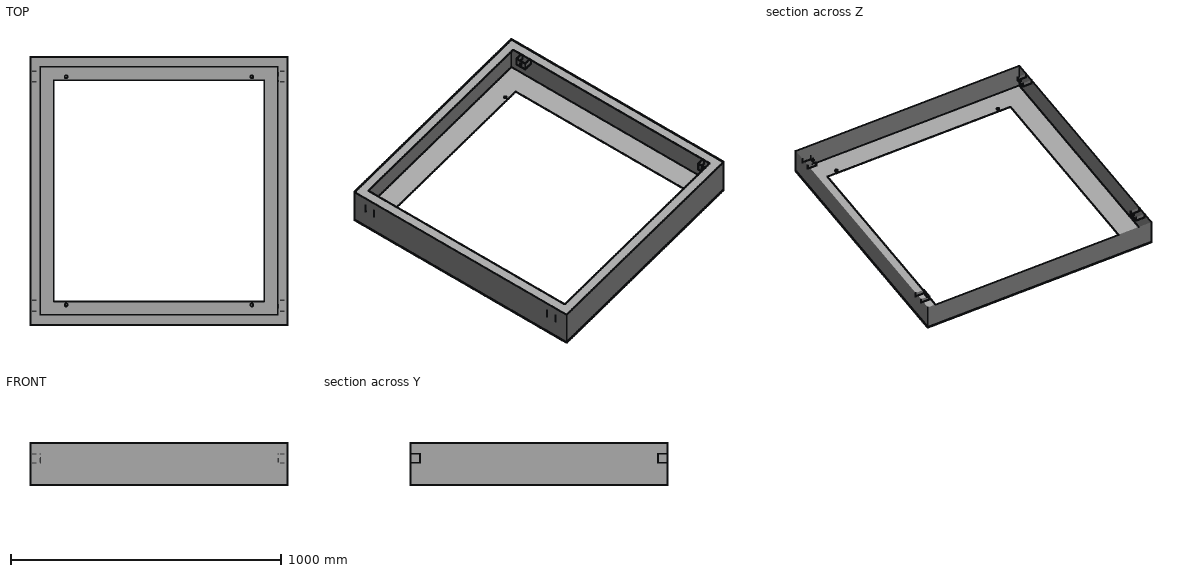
import cadquery as cq

width_x = 954.0
length_y = 994.0
height = 157.0
sheet = 2.0

top_flange = 38.0
bottom_flange = 87.0

hole_diameter = 10.0
hole_spacing_x = 688.0
hole_spacing_y = 845.0

bracket_outer_inset = 52.0
bracket_width = 42.0
bracket_height = 32.0
bracket_reach = top_flange
bracket_top_drop = 42.0
bracket_hole_diameter = 8.0
slit_depth = sheet / 2

bracket_y = length_y / 2 - bracket_outer_inset - bracket_width / 2
bracket_z = height - bracket_top_drop - bracket_height / 2


def rectangular_prism(inset, bottom, top):
    """Upright block whose sides lie at a given inset from the outer faces."""
    return (
        cq.Workplane("XY", origin=(0, 0, bottom))
        .rect(width_x - 2 * inset, length_y - 2 * inset)
        .extrude(top - bottom)
    )


def make_frame():
    outer = rectangular_prism(0, 0, height)
    interior = rectangular_prism(sheet, sheet, height - sheet)
    top_opening = rectangular_prism(top_flange, height - sheet, height)
    bottom_opening = rectangular_prism(bottom_flange, 0, sheet)
    return outer.cut(interior).cut(top_opening).cut(bottom_opening)


def make_flange_holes():
    return (
        cq.Workplane("XY")
        .rect(hole_spacing_x, hole_spacing_y, forConstruction=True)
        .vertices()
        .circle(hole_diameter / 2)
        .extrude(sheet)
    )


def make_leg_plates(start_x, end_x):
    """Two parallel plates in the bracket legs' planes, between two X positions."""
    leg_offset = (bracket_width - sheet) / 2
    return (
        cq.Workplane("XY", origin=((start_x + end_x) / 2, bracket_y, bracket_z))
        .pushPoints([(0, -leg_offset), (0, leg_offset)])
        .box(end_x - start_x, sheet, bracket_height)
    )


def make_bracket():
    """Bracket on the -X wall near its +Y end, open at top and bottom."""
    wall_face = -width_x / 2
    web_face = wall_face + bracket_reach
    legs = make_leg_plates(wall_face + slit_depth, web_face)
    web = (
        cq.Workplane("YZ", origin=(web_face - sheet, bracket_y, bracket_z))
        .rect(bracket_width, bracket_height)
        .circle(bracket_hole_diameter / 2)
        .extrude(sheet)
    )
    return legs.union(web)


def make_slits():
    """Shallow slits in the outer face where the bracket legs enter the wall."""
    wall_face = -width_x / 2
    return make_leg_plates(wall_face, wall_face + slit_depth)


def at_four_corners(shape):
    both_ends = shape.union(shape.mirror("XZ"))
    return both_ends.union(both_ends.mirror("YZ"))


result = (
    make_frame()
    .cut(make_flange_holes())
    .union(at_four_corners(make_bracket()))
    .cut(at_four_corners(make_slits()))
)